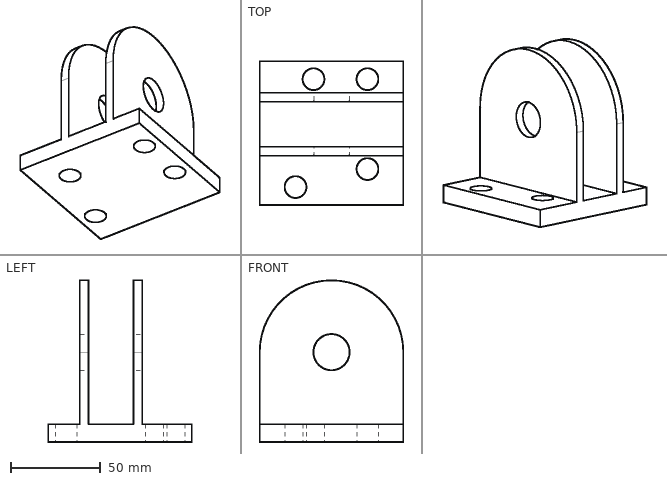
import cadquery as cq

base_side = 80.0
base_thickness = 10.0

lug_thickness = 5.0
lug_centers_y = (-10.0, 20.0)
lug_radius = base_side / 2
total_height = 90.0
pivot_height = total_height - lug_radius
pivot_diameter = 20.0

mount_diameter = 12.0
mount_positions = [(-10.0, 30.0), (20.0, 30.0), (20.0, -20.0), (-20.0, -30.0)]


def make_base():
    """Square plate with its vertical mounting holes."""
    plate = cq.Workplane("XY").box(base_side, base_side, base_thickness, centered=(True, True, False))
    holes = (
        cq.Workplane("XY")
        .pushPoints(mount_positions)
        .circle(mount_diameter / 2)
        .extrude(base_thickness)
    )
    return plate.cut(holes)


def make_lug(center_y):
    """Round-topped upright with a pivot hole concentric with its top arc."""
    face_plane = cq.Workplane("XZ", origin=(0, center_y + lug_thickness / 2, 0))
    outline = (
        face_plane
        .moveTo(-lug_radius, base_thickness)
        .lineTo(lug_radius, base_thickness)
        .lineTo(lug_radius, pivot_height)
        .threePointArc((0, total_height), (-lug_radius, pivot_height))
        .close()
        .extrude(lug_thickness)
    )
    pivot_hole = face_plane.center(0, pivot_height).circle(pivot_diameter / 2).extrude(lug_thickness)
    return outline.cut(pivot_hole)


result = make_base()
for lug_center_y in lug_centers_y:
    result = result.union(make_lug(lug_center_y))